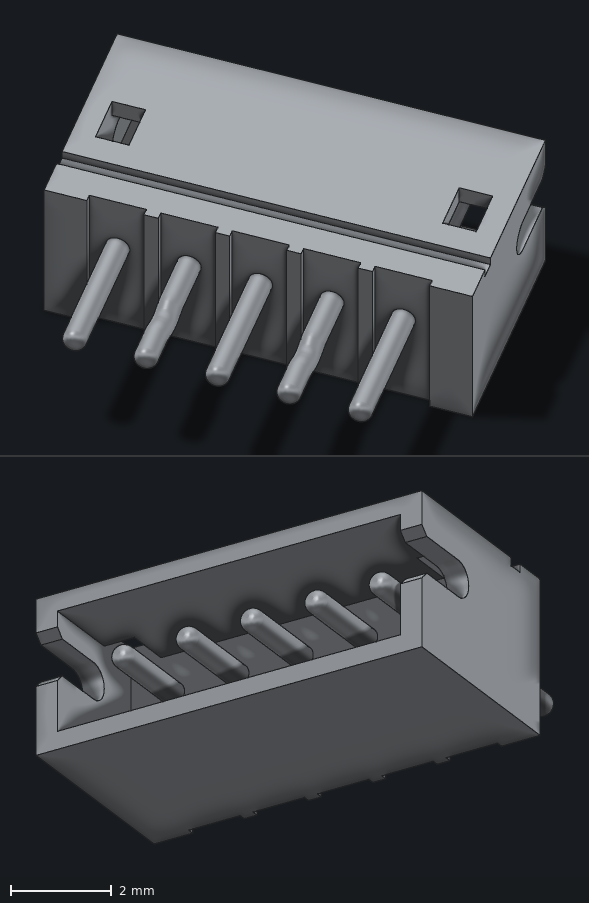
import cadquery as cq
import math


housing_length = 9.0
housing_depth = 4.5
housing_height = 3.5

side_wall = 0.5
roof_wall = 0.405
cavity_depth = 2.8

slot_width = 0.82
slot_length = 1.78
slot_below_top = 1.36
slot_chamfer = 0.19

window_width = 0.7
window_length = 1.02

groove_from_rear = 0.765
groove_width = 0.34
groove_depth = 0.19

pin_count = 5
pin_pitch = housing_length / (pin_count + 1)
pin_diameter = 0.5
pin_below_top = 1.3
pin_tail = 2.7
pin_tip_setback = 0.7
pin_tip_radius = 0.21

pocket_width = 1.2
pocket_depth = 0.15

kink_from_rear = 1.4
kink_half_length = 0.49
kink_angle = 17.0
entry_bend_run = 0.13
crest_bend_run = 0.18

pin_z = housing_height - pin_below_top
slot_z = housing_height - slot_below_top
cavity_end_y = housing_depth - cavity_depth
pin_front_y = housing_depth - pin_tip_setback
pin_positions = [(i - (pin_count - 1) / 2) * pin_pitch for i in range(pin_count)]


def box(size_x, size_y, size_z, start_y, start_z, center_x=0.0):
    """Box centred on center_x that starts at start_y and start_z."""
    block = cq.Workplane("XY").box(size_x, size_y, size_z, centered=(True, False, False))
    return block.translate((center_x, start_y, start_z))


def make_cavity():
    width = housing_length - 2 * side_wall
    height = housing_height - 2 * roof_wall
    return box(width, cavity_depth, height, cavity_end_y, roof_wall)


def make_keying_slot():
    """Round-ended slot with a chamfered entry, running through the full length in X."""
    half = slot_width / 2
    entry_half = half + slot_chamfer
    end_y = housing_depth - slot_length
    arc_y = end_y + half
    chamfer_y = housing_depth - slot_chamfer
    return (
        cq.Workplane("YZ")
        .moveTo(housing_depth, slot_z + entry_half)
        .lineTo(chamfer_y, slot_z + half)
        .lineTo(arc_y, slot_z + half)
        .threePointArc((end_y, slot_z), (arc_y, slot_z - half))
        .lineTo(chamfer_y, slot_z - half)
        .lineTo(housing_depth, slot_z - entry_half)
        .close()
        .extrude(housing_length / 2, both=True)
    )


def make_latch_window(side):
    center_x = side * (housing_length / 2 - side_wall - window_width / 2)
    start_z = housing_height - roof_wall
    return box(window_width, window_length, roof_wall, cavity_end_y, start_z, center_x)


def make_groove():
    start_z = housing_height - groove_depth
    return box(housing_length, groove_width, groove_depth, groove_from_rear, start_z)


def make_pin_hole(x):
    """Hole through the rear wall, from the rear face into the cavity."""
    return (
        cq.Workplane("XZ", origin=(x, 0, pin_z))
        .circle(pin_diameter / 2)
        .extrude(-cavity_end_y)
    )


def make_housing():
    housing = box(housing_length, housing_depth, housing_height, 0, 0)
    housing = housing.cut(make_cavity()).cut(make_keying_slot()).cut(make_groove())
    for side in (-1, 1):
        housing = housing.cut(make_latch_window(side))
    for x in pin_positions:
        housing = housing.cut(box(pocket_width, pocket_depth, housing_height, 0, 0, x))
        housing = housing.cut(make_pin_hole(x))
    return housing


def straight_path():
    return cq.Workplane("YZ").moveTo(pin_front_y, 0).lineTo(-pin_tail, 0)


def kinked_path():
    """Pin centreline with a shallow dip: tangent bends joined by short sloping runs."""
    angle = math.radians(kink_angle)
    slope_run = kink_half_length - entry_bend_run - crest_bend_run
    entry_radius = entry_bend_run / math.sin(angle)
    crest_radius = crest_bend_run / math.sin(angle)
    entry_drop = entry_radius * (1 - math.cos(angle))
    slope_drop = entry_drop + slope_run * math.tan(angle)
    kink_drop = slope_drop + crest_radius * (1 - math.cos(angle))

    mid_run = entry_radius * math.sin(angle / 2)
    mid_drop = entry_radius * (1 - math.cos(angle / 2))

    center_y = -kink_from_rear
    entry_y = kink_half_length
    slope_y = entry_y - entry_bend_run
    return (
        cq.Workplane("YZ")
        .moveTo(pin_front_y, 0)
        .lineTo(center_y + entry_y, 0)
        .threePointArc((center_y + entry_y - mid_run, -mid_drop), (center_y + slope_y, -entry_drop))
        .lineTo(center_y + crest_bend_run, -slope_drop)
        .threePointArc((center_y, -kink_drop), (center_y - crest_bend_run, -slope_drop))
        .lineTo(center_y - slope_y, -entry_drop)
        .threePointArc((center_y - entry_y + mid_run, -mid_drop), (center_y - entry_y, 0))
        .lineTo(-pin_tail, 0)
    )


def make_pin(x, path):
    """Round pin swept along its centreline, with both tips rounded."""
    pin = cq.Workplane("XZ", origin=(0, pin_front_y, 0)).circle(pin_diameter / 2).sweep(path)
    pin = pin.faces("<Y or >Y").edges().fillet(pin_tip_radius)
    return pin.translate((x, 0, pin_z))


housing = make_housing()
pins = []
for index, pin_x in enumerate(pin_positions):
    is_kinked = index % 2 == 1
    path = kinked_path() if is_kinked else straight_path()
    pins.append(make_pin(pin_x, path).val())

result = cq.Compound.makeCompound([housing.val(), *pins])